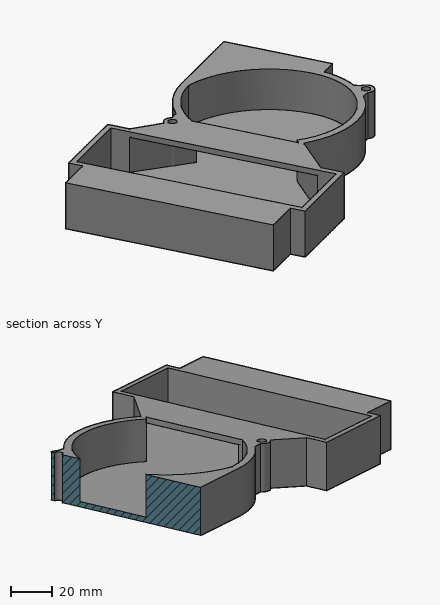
import cadquery as cq
import math

total_length = 170.88
height = 25.0
back_y = total_length / 2
front_y = -total_length / 2

floor_thickness = 3.0
roof_thickness = 3.0

box_width = 126.0
box_length = 46.0
box_wall = 3.0

front_block_width = 110.6
front_block_length = 20.0
front_block_x = -0.2
box_front_y = front_y + front_block_length
box_back_y = box_front_y + box_length
box_inner_back_y = box_back_y - box_wall

bowl_wall = 4.0
bowl_axis_y = 35.0
upper_radius = 36.9
upper_center = (4.7, bowl_axis_y)
right_radius = 44.0
right_center = (upper_center[0] + upper_radius - right_radius, bowl_axis_y)
left_radius = 42.4
left_center = (-2.3, bowl_axis_y)
bowl_left_x = left_center[0] - left_radius
bowl_top_y = bowl_axis_y + upper_radius

crown_run = upper_center[0] - bowl_left_x
crown_radius = (crown_run**2 + upper_radius**2) / (2 * upper_radius)
crown_center = (upper_center[0], bowl_top_y - crown_radius)

roof_edge_y = 0.7
inner_right_end_y = 2.9
outer_right_end_y = 3.8
outer_left_end_y = 5.0

throat_notch = (32.0, 1.3)
throat_outer_right_x = 50.5
throat_outer_left_x = -51.3
throat_inner_half_width = 50.0
throat_inner_left_x = -25.0
throat_inner_right_x = 29.4

outlet_right_x = 9.2

screw_diameter = 4.5
lug_radius = 4.3
rear_lug = (35.2, 67.3)
front_lug = (-35.7, -3.7)
rear_lug_web = [rear_lug, (32.1, 69.7), (27.9, 68.4), (37.1, 58.9), (37.9, 64.0)]


def on_circle(center, radius, angle):
    """Point on a circle at an angle in radians."""
    return (center[0] + radius * math.cos(angle), center[1] + radius * math.sin(angle))


def angle_at_y(center, radius, y, left=False):
    """Angle of the circle point at height y, on its right or left half."""
    angle = math.asin((y - center[1]) / radius)
    return math.pi - angle if left else angle


def add_arc(path, center, radius, start, end):
    """Extend a path along a circle between two angles."""
    middle = on_circle(center, radius, (start + end) / 2)
    return path.threePointArc(middle, on_circle(center, radius, end))


def block(width, length, depth, center_x, front, bottom):
    """Upright block placed by its X centre, front face and underside."""
    return (
        cq.Workplane("XY", origin=(center_x, front + length / 2, bottom))
        .rect(width, length)
        .extrude(depth)
    )


def housing():
    """Solid outline of the outlet block, bowl and throat."""
    right_outer = right_radius + bowl_wall
    left_outer = left_radius + bowl_wall
    upper_outer = upper_radius + bowl_wall

    left_end = angle_at_y(left_center, left_outer, outer_left_end_y, left=True)
    right_end = angle_at_y(right_center, right_outer, outer_right_end_y)
    upper_end = math.acos((outlet_right_x - upper_center[0]) / upper_outer)
    left_x = left_center[0] - left_outer
    web_x = on_circle(left_center, left_outer, left_end)[0]

    path = cq.Workplane("XY").moveTo(left_x, back_y).lineTo(left_x, bowl_axis_y)
    path = add_arc(path, left_center, left_outer, math.pi, left_end)
    path = path.lineTo(web_x, front_lug[1])
    path = path.lineTo(web_x, box_back_y + web_x - throat_outer_left_x)
    path = path.lineTo(throat_outer_left_x, box_back_y)
    path = path.lineTo(throat_outer_right_x, box_back_y).lineTo(*throat_notch)
    path = path.lineTo(*on_circle(right_center, right_outer, right_end))
    path = add_arc(path, right_center, right_outer, right_end, 0)
    path = add_arc(path, upper_center, upper_outer, 0, upper_end)
    return path.lineTo(outlet_right_x, back_y).close().extrude(height)


def lugs():
    """Round screw lugs and the web that ties the rear one to the bowl."""
    rounds = cq.Workplane("XY").pushPoints([rear_lug, front_lug]).circle(lug_radius).extrude(height)
    web = cq.Workplane("XY").polyline(rear_lug_web).close().extrude(height)
    return rounds.union(web)


def bowl_cavity():
    """Open-topped fan bowl, cut off straight at the edge of the throat roof."""
    left_start = angle_at_y(left_center, left_radius, roof_edge_y, left=True)
    right_end = angle_at_y(right_center, right_radius, inner_right_end_y)
    crown_start = angle_at_y(crown_center, crown_radius, bowl_axis_y, left=True)

    path = cq.Workplane("XY", origin=(0, 0, floor_thickness))
    path = path.moveTo(*on_circle(left_center, left_radius, left_start))
    path = add_arc(path, left_center, left_radius, left_start, math.pi)
    path = add_arc(path, crown_center, crown_radius, crown_start, math.pi / 2)
    path = add_arc(path, upper_center, upper_radius, math.pi / 2, 0)
    path = add_arc(path, right_center, right_radius, 0, right_end)
    path = path.lineTo(throat_inner_right_x, roof_edge_y)
    return path.close().extrude(height - floor_thickness)


def throat_cavity():
    """Roofed passage from the bowl to the box, with the front lug left standing in it."""
    passage = (
        cq.Workplane("XY", origin=(0, 0, floor_thickness))
        .moveTo(-throat_inner_half_width, box_inner_back_y)
        .lineTo(throat_inner_half_width, box_inner_back_y)
        .lineTo(throat_inner_right_x, roof_edge_y)
        .lineTo(throat_inner_left_x, roof_edge_y)
        .close()
        .extrude(height - floor_thickness - roof_thickness)
    )
    lug = cq.Workplane("XY").center(*front_lug).circle(lug_radius).extrude(height)
    return passage.cut(lug)


def box_cavity():
    """Open-topped rectangular pocket."""
    return block(
        box_width - 2 * box_wall,
        box_length - 2 * box_wall,
        height - floor_thickness,
        0,
        box_front_y + box_wall,
        floor_thickness,
    )


def screw_holes():
    """Through holes on the lug centres."""
    centers = cq.Workplane("XY").pushPoints([rear_lug, front_lug])
    return centers.circle(screw_diameter / 2).extrude(height)


outer_box = block(box_width, box_length, height, 0, box_front_y, 0)
front_block = block(front_block_width, front_block_length, height, front_block_x, front_y, 0)

body = housing().union(lugs()).union(outer_box).union(front_block)
result = body.cut(bowl_cavity()).cut(throat_cavity()).cut(box_cavity()).cut(screw_holes())